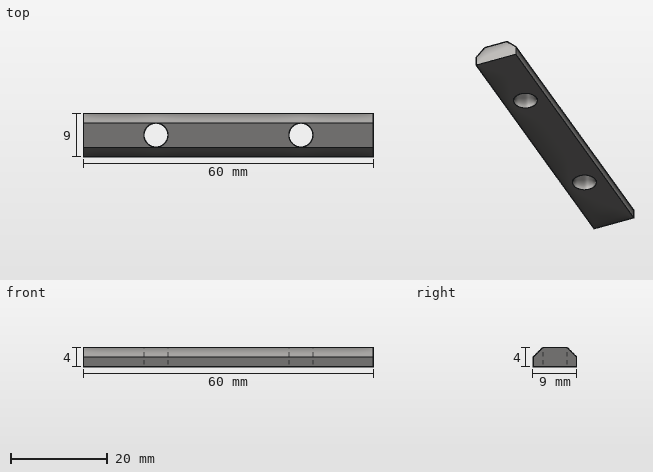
import cadquery as cq

length = 60.0
width = 9.0
height = 4.0
bevel = 2.0

hole_diameter = 4.9
hole_spacing = length / 2


def beveled_bar():
    bar = cq.Workplane("XY").box(length, width, height, centered=(True, True, False))
    return bar.faces(">Z").edges("|X").chamfer(bevel)


def drill_holes(bar):
    centres = [(-hole_spacing / 2, 0), (hole_spacing / 2, 0)]
    return bar.faces(">Z").workplane(origin=(0, 0, height)).pushPoints(centres).hole(hole_diameter)


result = drill_holes(beveled_bar())